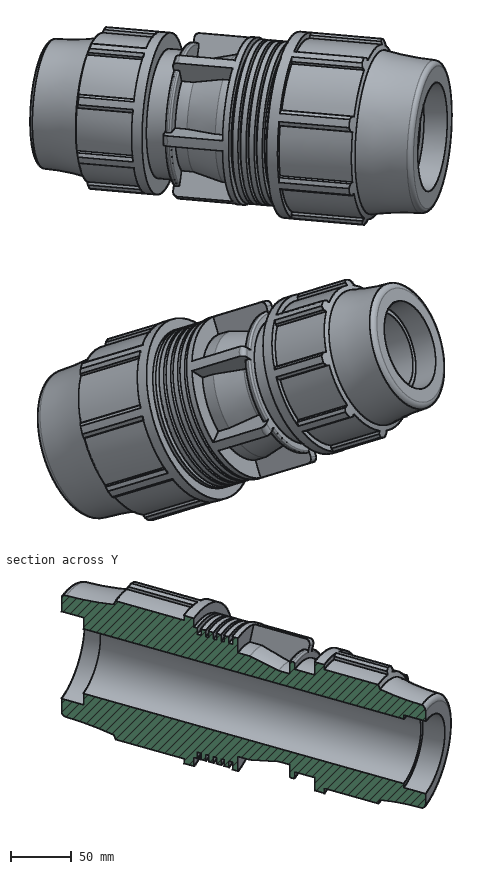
import cadquery as cq
length = 330.0

small_mouth_radius = 48.5
small_nose_start = 3.3
small_nose_radius = 53.8
small_shoulder_x = 41.2
small_shoulder_radius = 57.8
small_shoulder_length = 3.5
small_panel_radius = 62.0
small_collar_start = 91.7
small_collar_end = 100.5
small_collar_radius = 67.0
small_rib_top_width = 6.3
small_rib_width = 11.2

neck_radius = 107.2 / 2
ring_start = 118.5
ring_end = 123.5
ring_radius = 60.7
ring_rounding = 1.5
waist_radius = 47.5
cone_start = 133.3
cone_end = 159.5
cone_end_radius = 54.0
fin_count = 6
fin_thickness = 9.0
fin_rounding = 4.5

flange_start = 170.0
flange_end = 175.2
flange_radius = 138.5 / 2
thread_root_radius = 123.0 / 2
thread_crest_radius = 136.0 / 2
thread_count = 4
thread_start = 178.2
thread_pitch = 7.0
thread_crest_width = 4.5
lip_start = 207.0

large_collar_start = 210.0
large_collar_end = 219.0
large_collar_radius = 154.0 / 2
large_panel_radius = 72.3
large_shoulder_x = 282.8
large_shoulder_radius = 68.0
large_shoulder_length = 4.0
large_nose_end = 325.7
large_nose_radius = 63.5
large_mouth_radius = 59.0
large_rib_top_width = 6.5
large_rib_width = 13.0

rib_count = 8
rib_root_depth = 3.3
rib_chamfer_height = 2.5
nose_sag = 1.0

bore_radius = 33.3
small_socket_radius = 75.0 / 2
large_socket_radius = 90.0 / 2
socket_depth = 19.8


def cylinder(x_start, x_end, radius):
    """Solid cylinder along X."""
    return cq.Workplane("YZ", origin=(x_start, 0, 0)).circle(radius).extrude(x_end - x_start)


def revolve(outline):
    """Close an outline whose ends lie on the X axis and spin it about that axis."""
    return outline.close().revolve(360, (0, 0, 0), (1, 0, 0))


def nose(mouth_x, mouth_radius, tip_x, tip_radius, shoulder_x, shoulder_radius):
    """Hollow-curved nose of a nut; the mouth edge is an arc tangent to the end face."""
    edge_width = tip_x - mouth_x
    edge_height = tip_radius - mouth_radius
    edge_rounding = (edge_width**2 + edge_height**2) / (2 * edge_width)
    curve_middle = ((tip_x + shoulder_x) / 2, (tip_radius + shoulder_radius) / 2 - nose_sag)
    return revolve(
        cq.Workplane("XY")
        .moveTo(mouth_x, 0)
        .lineTo(mouth_x, mouth_radius)
        .radiusArc((tip_x, tip_radius), edge_rounding)
        .threePointArc(curve_middle, (shoulder_x, shoulder_radius))
        .lineTo(shoulder_x, 0)
    )


def nut_grip(shoulder_x, shoulder_radius, full_x, collar_x, collar_radius,
             panel_radius, rib_top_width, rib_width):
    """Panels and chamfered ribs between shoulder and collar; rib tops are flush with the collar."""
    x_start = min(shoulder_x, collar_x)
    x_end = max(shoulder_x, collar_x)
    grip = cylinder(x_start, x_end, panel_radius)
    chamfer_foot = collar_radius - rib_chamfer_height
    root_radius = panel_radius - rib_root_depth
    rib = (
        cq.Workplane("YZ", origin=(x_start, 0, 0))
        .polyline([
            (root_radius, -rib_width / 2),
            (chamfer_foot, -rib_width / 2),
            (collar_radius, -rib_top_width / 2),
            (collar_radius, rib_top_width / 2),
            (chamfer_foot, rib_width / 2),
            (root_radius, rib_width / 2),
        ])
        .close()
        .extrude(x_end - x_start)
    )
    rib_step = 360 / rib_count
    for index in range(rib_count):
        grip = grip.union(rib.rotate((0, 0, 0), (1, 0, 0), (index + 0.5) * rib_step))
    envelope = revolve(
        cq.Workplane("XY")
        .moveTo(shoulder_x, 0)
        .lineTo(shoulder_x, shoulder_radius)
        .lineTo(full_x, collar_radius)
        .lineTo(collar_x, collar_radius)
        .lineTo(collar_x, 0)
    )
    return grip.intersect(envelope)


def small_nut():
    nut = nose(0, small_mouth_radius, small_nose_start, small_nose_radius,
               small_shoulder_x, small_shoulder_radius)
    grip = nut_grip(small_shoulder_x, small_shoulder_radius, small_shoulder_x + small_shoulder_length,
                    small_collar_start, small_collar_radius,
                    small_panel_radius, small_rib_top_width, small_rib_width)
    return nut.union(grip).union(cylinder(small_collar_start, small_collar_end, small_collar_radius))


def large_nut():
    nut = nose(length, large_mouth_radius, large_nose_end, large_nose_radius,
               large_shoulder_x, large_shoulder_radius)
    grip = nut_grip(large_shoulder_x, large_shoulder_radius, large_shoulder_x - large_shoulder_length,
                    large_collar_end, large_collar_radius,
                    large_panel_radius, large_rib_top_width, large_rib_width)
    return nut.union(grip).union(cylinder(large_collar_start, large_collar_end, large_collar_radius))


def neck():
    """Neck, rounded ring and waist that widens toward the flange."""
    waist = revolve(
        cq.Workplane("XY")
        .moveTo(small_collar_end, 0)
        .lineTo(small_collar_end, neck_radius)
        .lineTo(ring_start, neck_radius)
        .lineTo(ring_start, waist_radius)
        .lineTo(cone_start, waist_radius)
        .lineTo(cone_end, cone_end_radius)
        .lineTo(flange_start, cone_end_radius)
        .lineTo(flange_start, 0)
    )
    ring = cylinder(ring_start, ring_end, ring_radius).edges().fillet(ring_rounding)
    return waist.union(ring)


def fins():
    """Radial fins from the ring to the flange, rounded at the free corner and flush with its rim."""
    fin = (
        cq.Workplane("XY")
        .rect(flange_start - ring_start, flange_radius - bore_radius)
        .extrude(fin_thickness / 2, both=True)
        .edges("|Z and <X and >Y")
        .fillet(fin_rounding)
        .translate(((flange_start + ring_start) / 2, (flange_radius + bore_radius) / 2, 0))
    )
    all_fins = fin
    for index in range(1, fin_count):
        all_fins = all_fins.union(fin.rotate((0, 0, 0), (1, 0, 0), index * 360 / fin_count))
    return all_fins.intersect(cylinder(ring_start, flange_start, flange_radius))


def threaded_body():
    """Flange, parallel thread ridges and the lip against the large nut."""
    body = cylinder(flange_start, large_collar_start, thread_root_radius)
    body = body.union(cylinder(flange_start, flange_end, flange_radius))
    for index in range(thread_count):
        ridge_start = thread_start + index * thread_pitch
        body = body.union(cylinder(ridge_start, ridge_start + thread_crest_width, thread_crest_radius))
    return body.union(cylinder(lip_start, large_collar_start, thread_crest_radius))


def bore():
    """Through bore with a wider pipe socket at each end."""
    through = cylinder(0, length, bore_radius)
    small_socket = cylinder(0, socket_depth, small_socket_radius)
    large_socket = cylinder(length - socket_depth, length, large_socket_radius)
    return through.union(small_socket).union(large_socket)


result = small_nut().union(neck()).union(fins()).union(threaded_body()).union(large_nut()).cut(bore())